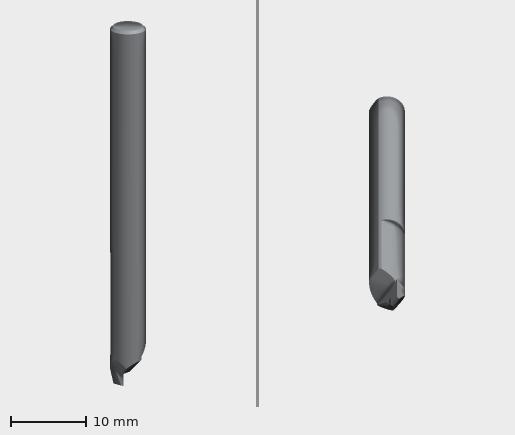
import cadquery as cq
import math


shank_diameter = 4.7625
shank_radius = shank_diameter / 2
overall_length = 50.8
flat_depth = 0.254
end_chamfer = 0.4

neck_top = 19.05
neck_bottom = 4.57
neck_depth = 0.45
neck_arc_radius = 3.9

rake_top = 4.83
tip_width = 1.54
shelf_height = 2.25
shelf_end_x = 0.27
side_relief_angle = 20.5
land_length = 0.42
land_rise = 0.15
heel_angle = 25.0

margin = 2.0
reach = shank_radius + margin


def shank():
    bar = cq.Workplane("XY").circle(shank_radius).extrude(overall_length)
    bar = bar.faces(">Z").chamfer(end_chamfer)
    flat = (
        cq.Workplane("XY")
        .center(0, shank_radius - flat_depth + margin / 2)
        .rect(2 * reach, margin)
        .extrude(overall_length)
    )
    return bar.cut(flat)


def along_x(points):
    """Prism across the whole bar in X from a (y, z) outline."""
    return cq.Workplane("YZ").polyline(points).close().extrude(reach, both=True)


def along_y(points):
    """Prism across the whole bar in Y from an (x, z) outline."""
    return cq.Workplane("XZ").polyline(points).close().extrude(reach, both=True)


def neck_cut():
    """Material outside a larger eccentric arc on the -X side."""
    height = neck_top - neck_bottom
    arc_center_x = -shank_radius + neck_depth + neck_arc_radius
    base = cq.Workplane("XY").workplane(offset=neck_bottom)
    block = base.center(-reach / 2, 0).rect(reach, 2 * reach).extrude(height)
    kept = base.center(arc_center_x, 0).circle(neck_arc_radius).extrude(height)
    return block.cut(kept)


def rake_cut():
    """Flat rake face on the bar's mid-plane, running out upward at 45 degrees."""
    return along_x([
        (0, -margin),
        (0, rake_top),
        (reach, rake_top + reach),
        (reach, -margin),
    ])


def nose_cut():
    """Step beside the tip and the 45 degree slope out to the +X side."""
    tip_right = -shank_radius + tip_width
    return along_y([
        (tip_right, -margin),
        (tip_right, shelf_height),
        (shelf_end_x, shelf_height),
        (reach, shelf_height + reach - shelf_end_x),
        (reach, -margin),
    ])


def end_relief_cut():
    """Short land behind the cutting edge followed by the steep heel."""
    heel_rise = (reach - land_length) / math.tan(math.radians(heel_angle))
    return along_x([
        (0, 0),
        (-land_length, land_rise),
        (-reach, land_rise + heel_rise),
        (-reach, -margin),
        (0, -margin),
    ])


def side_relief_cut():
    """Flank of the tip, sloping inward from the cutting edge toward -Y."""
    inset = reach * math.tan(math.radians(side_relief_angle))
    return (
        cq.Workplane("XY")
        .polyline([
            (-shank_radius, 0),
            (-shank_radius + inset, -reach),
            (-reach, -reach),
            (-reach, 0),
        ])
        .close()
        .extrude(neck_bottom)
    )


result = (
    shank()
    .cut(neck_cut())
    .cut(rake_cut())
    .cut(nose_cut())
    .cut(end_relief_cut())
    .cut(side_relief_cut())
)